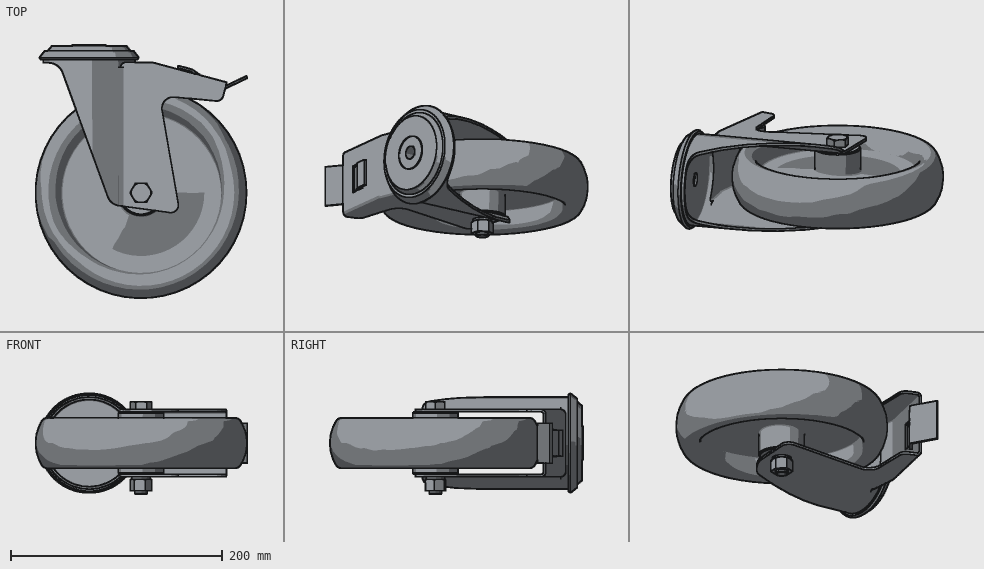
import cadquery as cq
import math


wheel_radius = 100.0
wheel_half_width = 24.0
crest_radius = 88.3
shoulder = (95.7, 18.2)
rim_radius = 76.0
rim_fillet = 1.7
disc_half_thickness = 3.5
dish_radius = 60.0
dish_rise = 2.2
hub_radius = 21.5
hub_fillet = 2.6
hub_chamfer = 1.2

sheet = 2.5
leg_inside = 29.5
leg_outside = leg_inside + sheet
hub_half_length = leg_inside
swivel_x = -49.2
tube_radius = 43.6
tube_bend = 7.2
fork_top = 128.0
fork_plate_bottom = fork_top - sheet
tube_corner = 1.5
tube_front_bottom = 122.8
fork_low = -24.0
web_top = 123.3
web_bend_x = 11.3
web_angle = math.radians(15)
web_outer_bend = 4.8
web_inner_bend = web_outer_bend - sheet
arm_end_x = 81.3
mount_hole_radius = 6.2

leg_front_top = (-77.7, tube_front_bottom, 14.0)
leg_front_bottom = (-28.8, -11.3, 13.2)
leg_back_bottom = (37.0, -20.1, 7.2)
arm_root = (17.5, 91.9, 10.8)
arm_tip_bottom = (76.5, 86.0, 6.7)

boss_radius = 15.8
head_top = 138.9
head_bottom = 125.7
head_profile = [
    (boss_radius, head_top),
    (35.5, head_top),
    (36.7, 137.2),
    (39.3, 134.3),
    (42.2, 134.3),
    (43.5, 132.6),
    (47.2, 127.8),
    (46.0, 126.1),
    (45.5, head_bottom),
    (tube_radius, head_bottom),
    (tube_radius, fork_top),
]
boss_top = 139.8

bolt_radius = 6.0
bolt_end = -48.2
bolt_end_chamfer = 0.7
hex_flats = 18.0
hex_corners = hex_flats / math.cos(math.radians(30))
hex_chamfer = 1.0
bolt_head_height = 7.5
nut_collar_radius = 8.9
nut_collar_height = 2.2
nut_height = 11.3
nut_turn = -7.0

pedal_half_width = 19.0
tongue_half_width = 12.2
pedal_tip = (100.7, 108.5)
pedal_knee = (74.3, 95.7)
pedal_rise_angle = math.radians(35)
pedal_plate_length = 16.3
pedal_bend = 2.5
tongue_gap = 1.0
tongue_end_x = 34.5
slot_start_x = 44.4
slot_end_x = 62.8
slot_clearance = 0.5


def web_y(x, offset=0.0):
    """Height of the sloping web at x, moved square to the web by offset."""
    return web_top - (x - web_bend_x) * math.tan(web_angle) + offset / math.cos(web_angle)


def rounded_prism(corners, half_width):
    """Prism across Z from (x, y, radius) corners, each rounded by its radius."""
    prism = cq.Workplane("XY").polyline([c[:2] for c in corners]).close().extrude(half_width, both=True)
    for x, y, radius in corners:
        if radius > 0:
            prism = prism.edges(cq.NearestToPointSelector((x, y, 0))).fillet(radius)
    return prism


def make_wheel():
    disc_at_hub = disc_half_thickness + dish_rise
    hollow = 1 - math.cos(math.radians(45))

    half = (
        cq.Workplane("XZ")
        .moveTo(bolt_radius, 0)
        .lineTo(bolt_radius, hub_half_length)
        .lineTo(hub_radius - hub_chamfer, hub_half_length)
        .lineTo(hub_radius, hub_half_length - hub_chamfer)
        .lineTo(hub_radius, disc_at_hub + hub_fillet)
        .threePointArc(
            (hub_radius + hub_fillet * hollow, disc_at_hub + hub_fillet * hollow),
            (hub_radius + hub_fillet, disc_at_hub),
        )
        .lineTo(dish_radius, disc_half_thickness)
        .lineTo(rim_radius - rim_fillet, disc_half_thickness)
        .threePointArc(
            (rim_radius - rim_fillet * hollow, disc_half_thickness + rim_fillet * hollow),
            (rim_radius, disc_half_thickness + rim_fillet),
        )
        .spline([(crest_radius, wheel_half_width)], tangents=[(0, 1), (1, 0)], includeCurrent=True)
        .spline([shoulder, (wheel_radius, 0)], tangents=[(1, 0), (0, -1)], includeCurrent=True)
        .close()
        .revolve(360, (0, 0, 0), (0, 1, 0))
    )
    return half.union(half.rotate((0, 0, 0), (1, 0, 0), 180))


def swivel_cylinder(radius, bottom, top):
    return (
        cq.Workplane("XZ", origin=(swivel_x, bottom, 0)).circle(radius).extrude(bottom - top)
    )


def below_web(half_width, inset, end_x):
    """Straight block whose roof follows the web, moved in by inset."""
    top = web_top - inset
    bend_x = web_bend_x - inset * math.tan(web_angle / 2)
    corners = [
        (swivel_x, fork_low),
        (swivel_x, top),
        (bend_x, top),
        (end_x, web_y(end_x, -inset)),
        (end_x, fork_low),
    ]
    return cq.Workplane("XY").polyline(corners).close().extrude(half_width, both=True)


def channel(half_width, inset, edge_bend, end_x):
    """Block behind the tube with its two long roof edges rounded."""
    block = below_web(half_width, inset, end_x)
    flat_x = (swivel_x + web_bend_x) / 2
    slope_x = (web_bend_x + end_x) / 2
    for side in (-1, 1):
        flat_edge = cq.NearestToPointSelector((flat_x, web_top - inset, side * half_width))
        slope_edge = cq.NearestToPointSelector((slope_x, web_y(slope_x, -inset), side * half_width))
        block = block.edges(flat_edge + slope_edge).fillet(edge_bend)
    return block


def fork_shell(inset, tube, edge_bend, end_x):
    """Tube and channel joined by hollow bends, as a full block moved in by inset."""
    radius = tube_radius - inset
    half_width = leg_outside - inset
    bend_top = web_top - inset - edge_bend
    length = radius + tube_bend + sheet
    blended = swivel_cylinder(radius, fork_low, bend_top).union(
        cq.Workplane("XZ", origin=(swivel_x + length / 2, fork_low, 0))
        .rect(length, 2 * half_width)
        .extrude(fork_low - bend_top)
    )
    join_x = swivel_x + math.sqrt(radius**2 - half_width**2)
    for side in (-1, 1):
        join = cq.NearestToPointSelector((join_x, (fork_low + bend_top) / 2, side * half_width))
        blended = blended.edges("|Y").edges(join).fillet(tube_bend + inset)
    roofed = channel(half_width, inset, edge_bend, end_x)
    return tube.union(blended).union(roofed)


def leg_outline():
    above = fork_top + sheet
    behind_tube = swivel_x - tube_radius - sheet
    arm_end_top = (arm_end_x + math.tan(web_angle) * (above - web_y(arm_end_x)), above, 0)
    corners = [
        (behind_tube, above, 0),
        (behind_tube, tube_front_bottom, 0),
        leg_front_top,
        leg_front_bottom,
        leg_back_bottom,
        arm_root,
        arm_tip_bottom,
        arm_end_top,
    ]
    return rounded_prism(corners, tube_radius + sheet)


def pedal_slot():
    return (
        cq.Workplane("XY")
        .polyline(
            [
                (slot_start_x, web_y(slot_start_x, sheet)),
                (slot_end_x, web_y(slot_end_x, sheet)),
                (slot_end_x, web_y(slot_end_x, -2 * sheet)),
                (slot_start_x, web_y(slot_start_x, -2 * sheet)),
            ]
        )
        .close()
        .extrude(tongue_half_width + slot_clearance, both=True)
    )


def make_fork():
    beyond_arm = arm_end_x + 2 * sheet
    outer_tube = swivel_cylinder(tube_radius, fork_low, fork_top)
    bore = swivel_cylinder(tube_radius - sheet, fork_low, fork_plate_bottom)
    bore = bore.faces(">Y").edges().fillet(tube_corner)
    outside = fork_shell(0, outer_tube, web_outer_bend, beyond_arm)
    inside = fork_shell(sheet, bore, web_inner_bend, beyond_arm + sheet)
    axle_hole = cq.Workplane("XY").circle(bolt_radius).extrude(leg_outside, both=True)
    return (
        outside.cut(inside)
        .intersect(leg_outline())
        .cut(pedal_slot())
        .cut(axle_hole)
        .cut(swivel_cylinder(mount_hole_radius, fork_plate_bottom - sheet, fork_top + sheet))
    )


def make_head():
    profile = [
        (mount_hole_radius, fork_top),
        (mount_hole_radius, boss_top),
        (boss_radius, boss_top),
        *head_profile,
    ]
    return (
        cq.Workplane("XY", origin=(swivel_x, 0, 0))
        .polyline(profile)
        .close()
        .revolve(360, (0, 0, 0), (0, 1, 0))
    )


def hexagon(bottom, height, chamfered_face):
    blank = cq.Workplane("XY", origin=(0, 0, bottom)).circle(hex_corners / 2).extrude(height)
    blank = blank.faces(chamfered_face).chamfer(hex_chamfer)
    prism = cq.Workplane("XY", origin=(0, 0, bottom)).polygon(6, hex_corners).extrude(height)
    return prism.intersect(blank)


def make_bolt():
    shank = (
        cq.Workplane("XY", origin=(0, 0, bolt_end))
        .circle(bolt_radius)
        .extrude(leg_outside - bolt_end)
        .faces("<Z")
        .chamfer(bolt_end_chamfer)
    )
    return shank.union(hexagon(leg_outside, bolt_head_height, ">Z"))


def make_nut():
    seat = cq.Workplane("XY", origin=(0, 0, -leg_outside))
    collar = seat.circle(nut_collar_radius).extrude(-nut_collar_height)
    nut_bottom = -leg_outside - nut_collar_height - nut_height
    body = hexagon(nut_bottom, nut_height, ">Z").rotate((0, 0, 0), (0, 0, 1), nut_turn)
    bore = cq.Workplane("XY").circle(bolt_radius).extrude(nut_bottom)
    return collar.union(body).cut(bore)


def bent_strip(ends, corner, half_width, bend):
    """Sheet strip whose lower face runs ends[0] - corner - ends[1], right to left."""
    headings = [
        math.atan2(corner[1] - ends[0][1], corner[0] - ends[0][0]),
        math.atan2(ends[1][1] - corner[1], ends[1][0] - corner[0]),
    ]

    def raised(point, heading, distance):
        return (point[0] + distance * math.sin(heading), point[1] - distance * math.cos(heading))

    turn = (headings[1] - headings[0] + math.pi) % (2 * math.pi) - math.pi
    corner_top = raised(corner, headings[0] + turn / 2, sheet / math.cos(turn / 2))
    return rounded_prism(
        [
            (*ends[0], 0),
            (*corner, bend + sheet if bend else 0),
            (*ends[1], 0),
            (*raised(ends[1], headings[1], sheet), 0),
            (*corner_top, bend),
            (*raised(ends[0], headings[0], sheet), 0),
        ],
        half_width,
    )


def make_pedal():
    knee_x, knee_y = pedal_knee
    rise = math.tan(pedal_rise_angle)
    shoulders = (
        knee_x - pedal_plate_length * math.cos(pedal_rise_angle),
        knee_y + pedal_plate_length * math.sin(pedal_rise_angle),
    )
    level = web_y(knee_x, tongue_gap) - knee_y
    fold_run = level / (rise - math.tan(web_angle))
    fold = (knee_x - fold_run, knee_y + fold_run * rise)
    tongue_end = (tongue_end_x, web_y(tongue_end_x, tongue_gap))
    plate = bent_strip((pedal_tip, shoulders), pedal_knee, pedal_half_width, pedal_bend)
    tongue = bent_strip((shoulders, tongue_end), fold, tongue_half_width, 0)
    return plate.union(tongue)


wheel = make_wheel()
fork = make_fork()
head = make_head()
bolt = make_bolt()
nut = make_nut()
pedal = make_pedal()

result = cq.Compound.makeCompound(
    [body.solids().val() for body in (wheel, fork, head, bolt, nut, pedal)]
)